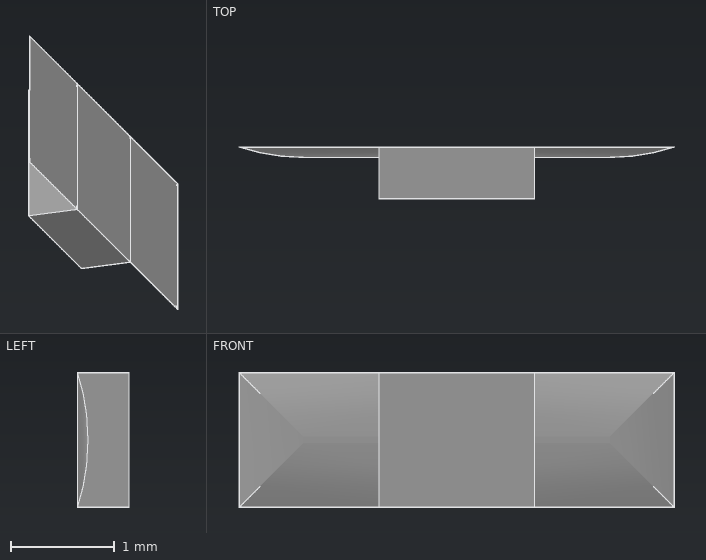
import cadquery as cq

length = 4.2
depth = 0.5
height = 1.3
block_length = 1.505

wing_thickness = 0.1
ridge_height = 0.065
slope_run = (height - ridge_height) / 2
slope_radius = (slope_run**2 + wing_thickness**2) / (2 * wing_thickness)

back_y = depth / 2
crest_y = back_y - wing_thickness
wing_length = (length - block_length) / 2


def slope_middle():
    """Inward run from the rim and rise from the back at a point on the slope arc."""
    run_left = slope_run / 2
    drop = slope_radius - (slope_radius**2 - run_left**2) ** 0.5
    return slope_run - run_left, wing_thickness - drop


def make_block():
    return cq.Workplane("XY").box(block_length, depth, height)


def make_wing(side):
    """Wing on the side -1 (-X) or +1 (+X): two curved profiles intersected."""
    tip_x = side * length / 2
    root_x = side * block_length / 2
    rim_z = height / 2
    crest_z = ridge_height / 2
    middle_run, middle_rise = slope_middle()
    middle_y = back_y - middle_rise

    end_profile = (
        cq.Workplane("XY", origin=(0, 0, -height / 2))
        .moveTo(tip_x, back_y)
        .threePointArc((tip_x - side * middle_run, middle_y), (tip_x - side * slope_run, crest_y))
        .lineTo(root_x, crest_y)
        .lineTo(root_x, back_y)
        .close()
        .extrude(height)
    )

    cross_section = (
        cq.Workplane("YZ", origin=(min(tip_x, root_x), 0, 0))
        .moveTo(back_y, -rim_z)
        .threePointArc((middle_y, middle_run - rim_z), (crest_y, -crest_z))
        .lineTo(crest_y, crest_z)
        .threePointArc((middle_y, rim_z - middle_run), (back_y, rim_z))
        .close()
        .extrude(wing_length)
    )
    return end_profile.intersect(cross_section)


block = make_block()
wings = [make_wing(side) for side in (-1, 1)]

result = cq.Compound.makeCompound([block.val(), *[wing.val() for wing in wings]])